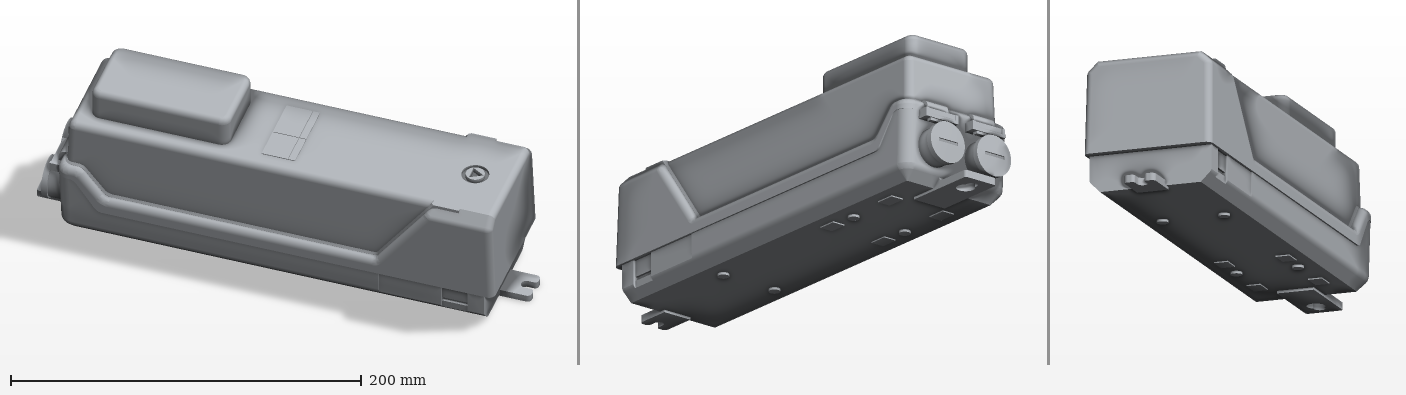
import cadquery as cq
import math


total_length = 297.1
total_width = 78.0
total_height = 96.77
end_draft = math.tan(math.radians(2.2))
side_draft = math.tan(math.radians(0.9))

base_bottom_z = 1.5
base_front_x = 20.7
base_rear_x = 278.6
base_half_width = 38.2
base_corner_radius = 7.5
base_chamfer = 6.8
base_chamfer_blend = 5.0
rear_flat_x = 215.2
rear_flat_half_width = 37.3

parting_low_z = 23.1
parting_high_z = 42.8
parting_slope_top_x = 31.6
parting_slope_bottom_x = 46.0
parting_bend_radius = 6.0

cover_rear_x = 284.8
cover_half_width = total_width / 2
cover_top_z = 78.6
skirt_front_radius = 7.5
skirt_rear_radius = 4.0
top_side_chamfer = 6.5

ledge_low_z = 32.5
ledge_high_z = 49.8
ledge_front_slope_x = (35.0, 50.0)
ledge_rear_slope_x = (213.0, 247.0)
ledge_front_bend_radius = 6.0
ledge_rear_bend_radius = 3.0
ledge_edge_radius = 4.2

crown_front_x = 24.9
crown_rear_x = 262.0
crown_half_width = 33.4
crown_side_draft = math.tan(math.radians(1.4))
crown_corner_radius = 4.5
crown_top_radius = 4.0
crown_root_size = 1.2

box_front_x = 36.0
box_length = 83.2
box_width = 44.4
box_corner_radius = 5.6
box_top_radius = 3.5

label_front_x = 139.4
label_length = 20.2
label_width = 44.4
label_height = 0.5
label_split_y = -2.4
label_strip_x = 155.2
label_groove = 0.4
screw_x = 260.6
screw_recess_diameter = 16.0
screw_recess_depth = 2.0
screw_head_diameter = 11.0
screw_head_rise = 0.5
screw_socket_diameter = 10.0
screw_socket_depth = 3.0

gland_y = 17.0
gland_z = 22.4
gland_neck_diameter = 23.0
gland_flange_diameter = 25.0
gland_rim_x = 9.0
gland_flange_thickness = 3.5
gland_dome_height = 0.8
gland_slot_length = 14.2
gland_slot_width = 2.0
gland_slot_depth = 1.0
embed = 6.0

hook_front_x = 13.8
hook_width = 23.6
hook_bottom_z = 37.4
hook_lip_width = 16.0
hook_lip_thickness = 3.0
hook_lip_drop = 1.6
hook_recess_margin = 1.9
hook_recess_depth = 0.5
lug_front_x = 18.0
lug_width = 15.3

bracket_top_z = 4.4
front_bracket_width = 22.6
front_bracket_end_x = 46.8
front_bracket_corner = 1.7
keyhole_x = 13.8
keyhole_diameter = 11.0
keyhole_slot_width = 6.8
keyhole_slot_end_x = 4.6
gusset_radius = 3.0
gusset_top_x = 24.0
rear_bracket_width = 19.0
rear_bracket_start_x = 274.6
rear_bracket_corner = 2.7
rear_slot_width = 6.0
rear_slot_end_x = 288.3
rear_slot_mouth_radius = 2.0

foot_y = 18.8
foot_diameter = 6.8
foot_x = (92.0, 209.9)
pad_width = 8.4
pad_height = 0.7
pad_spans = ((52.5, 64.7), (105.4, 116.8))

latch_x = (252.7, 268.6)
latch_window_bottom_z = 13.2
latch_bar_top_z = 10.8
latch_bar_bottom_z = 6.4
latch_window_depth = 1.5
latch_gap_depth = 3.0


def box_between(x0, x1, y0, y1, z0, z1):
    return cq.Workplane("XY").box(x1 - x0, y1 - y0, z1 - z0, centered=False).translate((x0, y0, z0))


def drafted_block(z0, front0, rear0, half0, z1, front1, rear1, half1):
    """Block with flat sloping sides between two rectangles that are symmetric about Y = 0."""
    side_view = (
        cq.Workplane("XZ")
        .polyline([(front0, z0), (rear0, z0), (rear1, z1), (front1, z1)])
        .close()
        .extrude(total_width, both=True)
    )
    end_view = (
        cq.Workplane("YZ")
        .polyline([(-half0, z0), (half0, z0), (half1, z1), (-half1, z1)])
        .close()
        .extrude(total_length)
    )
    return side_view.intersect(end_view)


def upright_edges(block, end):
    """Upright corner edges at the front ("<X") or the rear (">X") face of a drafted block."""
    return block.faces(end).edges("not #Z")


def side_profile(points):
    """Slab with the given XZ outline that spans more than the full width."""
    return cq.Workplane("XZ").polyline(points).close().extrude(total_width, both=True)


def near_point(x, z):
    size = 0.5
    return cq.selectors.BoxSelector(
        (x - size, -2 * total_width, z - size), (x + size, 2 * total_width, z + size)
    )


def edges_near_height(z):
    """Selector for the edges that run at about height z."""
    margin = 0.6
    return cq.selectors.BoxSelector(
        (0, -total_width, z - margin), (base_rear_x - 1, total_width, z + margin)
    )


def parting_slab():
    """Everything below the parting face."""
    slab = side_profile([
        (-embed, -embed),
        (total_length, -embed),
        (total_length, parting_low_z),
        (parting_slope_bottom_x, parting_low_z),
        (parting_slope_top_x, parting_high_z),
        (-embed, parting_high_z),
    ])
    slab = slab.edges(near_point(parting_slope_bottom_x, parting_low_z)).fillet(parting_bend_radius)
    return slab.edges(near_point(parting_slope_top_x, parting_high_z)).fillet(parting_bend_radius)


def bend_shift(run, rise, lift):
    """Sideways move of a bend between a level line and a slope when the outline grows by lift."""
    return lift * math.tan(math.atan2(rise, run) / 2)


def ledge_slab(lift=0.0):
    """Everything below the ledge that runs along the front and the sides of the cover, grown by lift."""
    slope_top, slope_bottom = ledge_front_slope_x
    rise_bottom, rise_top = ledge_rear_slope_x
    front_shift = bend_shift(slope_bottom - slope_top, ledge_high_z - ledge_low_z, lift)
    rear_rise = cover_top_z - ledge_low_z
    rear_shift = bend_shift(rise_top - rise_bottom, rear_rise, lift)
    low_z = ledge_low_z + lift
    high_z = ledge_high_z + lift
    slope_top += front_shift
    slope_bottom += front_shift
    rise_bottom -= rear_shift
    rise_end = rise_bottom + (total_height - low_z) * (ledge_rear_slope_x[1] - ledge_rear_slope_x[0]) / rear_rise
    slab = side_profile([
        (0, 0),
        (total_length, 0),
        (total_length, total_height),
        (rise_end, total_height),
        (rise_bottom, low_z),
        (slope_bottom, low_z),
        (slope_top, high_z),
        (0, high_z),
    ])
    for x, z in ((slope_bottom, low_z), (slope_top, high_z)):
        slab = slab.edges(near_point(x, z)).fillet(ledge_front_bend_radius)
    return slab.edges(near_point(rise_bottom, low_z)).fillet(ledge_rear_bend_radius)


def is_ledge_face(face):
    """True for the faces that face upwards across the full width below the top of the cover."""
    normal = face.normalAt()
    center = face.Center()
    runs_across = abs(normal.y) < 1e-6 and abs(center.y) < 1e-3
    return runs_across and normal.z > 0.05 and ledge_low_z - 1 < center.z and center.x < ledge_rear_slope_x[1]


def ledge_outer_edges(block):
    """Edges along the front and the sides of the ledge faces of a block."""
    ledge_faces = block.newObject([face for face in block.faces().vals() if is_ledge_face(face)])
    return ledge_faces.edges("not |Y").vals() + ledge_faces.edges("|Y").edges("<X").vals()


def make_skirt():
    """Full-width part of the cover, with the ledge cut in and rounded along its outer edge."""
    rise = cover_top_z - base_bottom_z
    low_drop = parting_low_z - base_bottom_z
    half_low = cover_half_width + low_drop * side_draft
    rear_low = cover_rear_x + low_drop * end_draft
    front_low = base_front_x + (base_bottom_z - parting_high_z) * end_draft
    skirt = drafted_block(
        base_bottom_z, front_low, rear_low, half_low,
        cover_top_z, front_low + rise * end_draft, rear_low - rise * end_draft, half_low - rise * side_draft,
    )
    skirt = upright_edges(skirt, "<X").fillet(skirt_front_radius)
    top_side_edges = edges_near_height(cover_top_z - top_side_chamfer)
    skirt = skirt.faces(">Z").edges("<Y or >Y").chamfer(top_side_chamfer)
    rear_edges = skirt.faces(">X").edges("not <Z")
    skirt = skirt.edges(top_side_edges).add(rear_edges).fillet(skirt_rear_radius)
    skirt = skirt.intersect(ledge_slab())
    return skirt.newObject(ledge_outer_edges(skirt)).fillet(ledge_edge_radius)


def crown_block(margin=0.0):
    """Drafted crown without its top rounding, grown outwards by margin."""
    rise = cover_top_z - ledge_low_z
    front_low = crown_front_x - margin - (ledge_high_z - ledge_low_z) * end_draft
    half_low = crown_half_width + margin
    block = drafted_block(
        ledge_low_z, front_low, crown_rear_x, half_low,
        cover_top_z, front_low + rise * end_draft, crown_rear_x, half_low - rise * crown_side_draft,
    )
    return upright_edges(block, "<X").fillet(crown_corner_radius + margin)


def make_crown():
    """Narrower top part of the cover that rises out of the ledge."""
    return crown_block().faces(">Z").edges("not >X").fillet(crown_top_radius)


def make_crown_root():
    """Narrow sloping collar where the crown meets the ledge."""
    root = crown_block(crown_root_size).intersect(ledge_slab(crown_root_size))
    return root.newObject(ledge_outer_edges(root)).chamfer(0.95 * crown_root_size)


def make_top_box():
    bottom = cover_top_z - embed
    box = box_between(box_front_x, box_front_x + box_length, -box_width / 2, box_width / 2, bottom, total_height)
    return box.edges("|Z").fillet(box_corner_radius).faces(">Z").edges().fillet(box_top_radius)


def make_label():
    """Thin raised plate, split in two fields, each with a strip along the rear edge."""
    rear_x = label_front_x + label_length
    half = label_width / 2
    top = cover_top_z + label_height
    bottom = top - label_groove
    plate = box_between(label_front_x, rear_x, -half, half, cover_top_z - embed, top)
    split = box_between(
        label_front_x, rear_x, label_split_y - label_groove / 2, label_split_y + label_groove / 2, bottom, top
    )
    strip = box_between(label_strip_x, label_strip_x + label_groove, -half, half, bottom, top)
    return plate.cut(split).cut(strip)


def cylinder_up(x, y, z0, z1, diameter):
    return cq.Workplane("XY", origin=(x, y, z0)).circle(diameter / 2).extrude(z1 - z0)


def make_cover_lug(side):
    """Rounded lug on the front ledge above a hook."""
    y = side * gland_y
    lug = box_between(
        lug_front_x, crown_front_x, y - lug_width / 2, y + lug_width / 2, parting_high_z, ledge_high_z
    )
    return lug.edges("<X and >Z").fillet(ledge_edge_radius)


def make_cover():
    cover = make_skirt().union(make_crown_root()).union(make_crown()).cut(parting_slab())
    cover = cover.union(make_top_box()).union(make_label())
    for side in (-1, 1):
        cover = cover.union(make_cover_lug(side))
    recess_z = cover_top_z - screw_recess_depth
    head_top = cover_top_z + screw_head_rise
    cover = cover.cut(cylinder_up(screw_x, 0, recess_z, head_top, screw_recess_diameter))
    cover = cover.union(cylinder_up(screw_x, 0, recess_z - 1, head_top, screw_head_diameter))
    socket = (
        cq.Workplane("XY", origin=(screw_x, 0, head_top - screw_socket_depth))
        .polygon(3, screw_socket_diameter)
        .extrude(screw_socket_depth)
    )
    return cover.cut(socket)


def make_base_shell():
    """Drafted tub below the parting face, chamfered along the bottom at the front and the sides."""
    rise = parting_high_z + embed - base_bottom_z
    front_low = base_front_x + (parting_high_z - base_bottom_z) * end_draft
    half_low = base_half_width - (parting_high_z - base_bottom_z) * side_draft
    shell = drafted_block(
        base_bottom_z, front_low, base_rear_x, half_low,
        parting_high_z + embed, front_low - rise * end_draft, base_rear_x, half_low + rise * side_draft,
    )
    shell = upright_edges(shell, "<X").fillet(base_corner_radius)
    shell = shell.faces("<Z").edges("not >X").chamfer(base_chamfer)
    shell = shell.edges(edges_near_height(base_bottom_z + base_chamfer)).fillet(base_chamfer_blend)
    shell = shell.intersect(parting_slab())
    for side in (-1, 1):
        inner, outer = sorted((side * rear_flat_half_width, side * total_width))
        shell = shell.cut(box_between(rear_flat_x, base_rear_x, inner, outer, 0, parting_low_z))
    return shell


def cut_latch(base, side):
    """Pocket in the rear flat with a deeper gap between its window and a bar below."""
    x0, x1 = latch_x
    steps = (
        (latch_window_bottom_z, parting_low_z, latch_window_depth),
        (latch_bar_top_z, latch_window_bottom_z, latch_gap_depth),
        (latch_bar_bottom_z, latch_bar_top_z, latch_window_depth),
    )
    for z0, z1, depth in steps:
        y0, y1 = sorted((side * (rear_flat_half_width - depth), side * total_width))
        base = base.cut(box_between(x0, x1, y0, y1, z0, z1))
    return base


def make_gland(side):
    """Screw plug with a domed, slotted flange on a round neck, revolved about its own axis."""
    neck = gland_neck_diameter / 2
    rim = gland_flange_diameter / 2
    flange_rear_x = gland_rim_x + gland_flange_thickness
    dome_x = gland_rim_x - gland_dome_height
    sphere = (rim ** 2 + gland_dome_height ** 2) / (2 * gland_dome_height)
    mid_radius = rim / 2
    mid_x = dome_x + sphere - math.sqrt(sphere ** 2 - mid_radius ** 2)
    gland = (
        cq.Workplane("XY")
        .moveTo(dome_x, 0)
        .threePointArc((mid_x, mid_radius), (gland_rim_x, rim))
        .lineTo(flange_rear_x, rim)
        .lineTo(flange_rear_x, neck)
        .lineTo(base_front_x + embed, neck)
        .lineTo(base_front_x + embed, 0)
        .close()
        .revolve(360, (0, 0, 0), (1, 0, 0))
    )
    slot = cq.Workplane("XY").box(2 * gland_slot_depth, gland_slot_length, gland_slot_width)
    gland = gland.cut(slot.translate((dome_x, 0, 0)))
    return gland.translate((0, side * gland_y, gland_z))


def make_hook(side):
    """Flat hook above a gland, with a recessed front face and a short lip under it."""
    y = side * gland_y
    rear_x = base_front_x + embed
    plate = box_between(hook_front_x, rear_x, y - hook_width / 2, y + hook_width / 2, hook_bottom_z, parting_high_z)
    recess_half = hook_width / 2 - hook_recess_margin
    recess = box_between(
        hook_front_x, hook_front_x + hook_recess_depth, y - recess_half, y + recess_half,
        hook_bottom_z + hook_recess_margin, parting_high_z,
    )
    lip_x = hook_front_x + hook_lip_drop / 2
    lip = box_between(
        lip_x, lip_x + hook_lip_thickness, y - hook_lip_width / 2, y + hook_lip_width / 2,
        hook_bottom_z - hook_lip_drop, hook_bottom_z,
    )
    return plate.cut(recess).union(lip)


def make_front_bracket():
    """Plate with a keyhole, rounded into the chamfered front of the base."""
    half = front_bracket_width / 2
    plate = box_between(0, front_bracket_end_x, -half, half, 0, bracket_top_z)
    plate = plate.edges("|Z and <X").fillet(front_bracket_corner)
    gusset = (
        cq.Workplane("XZ", origin=(0, half, 0))
        .moveTo(gusset_top_x - gusset_radius, bracket_top_z)
        .radiusArc((gusset_top_x, bracket_top_z + gusset_radius), -gusset_radius)
        .lineTo(gusset_top_x + embed, bracket_top_z + gusset_radius)
        .lineTo(gusset_top_x + embed, bracket_top_z)
        .close()
        .extrude(front_bracket_width)
    )
    return plate.union(gusset)


def make_keyhole():
    """Cutter for the keyhole: a large round hole with a narrower slot towards the bracket tip."""
    slot_radius = keyhole_slot_width / 2
    slot_x = keyhole_slot_end_x + slot_radius
    slot = box_between(slot_x, keyhole_x, -slot_radius, slot_radius, 0, bracket_top_z)
    slot_end = cylinder_up(slot_x, 0, 0, bracket_top_z, keyhole_slot_width)
    return cylinder_up(keyhole_x, 0, 0, bracket_top_z, keyhole_diameter).union(slot).union(slot_end)


def make_rear_bracket():
    """Plate with an open slot whose mouth is rounded."""
    half = rear_bracket_width / 2
    slot_radius = rear_slot_width / 2
    slot_x = rear_slot_end_x + slot_radius
    plate = box_between(rear_bracket_start_x, total_length, -half, half, 0, bracket_top_z)
    plate = plate.edges("|Z and >X").fillet(rear_bracket_corner)
    plate = plate.cut(box_between(slot_x, total_length, -slot_radius, slot_radius, 0, bracket_top_z))
    plate = plate.cut(cylinder_up(slot_x, 0, 0, bracket_top_z, rear_slot_width))
    mouth = plate.edges(cq.selectors.BoxSelector(
        (total_length - 0.5, -slot_radius - 0.5, -1), (total_length + 0.5, slot_radius + 0.5, bracket_top_z + 1)
    )).edges("|Z")
    return mouth.fillet(rear_slot_mouth_radius)


def make_base():
    base = make_base_shell()
    base = base.union(make_front_bracket()).union(make_rear_bracket()).cut(make_keyhole())
    for side in (-1, 1):
        base = cut_latch(base, side)
        base = base.union(make_gland(side)).union(make_hook(side))
        y = side * foot_y
        for x in foot_x:
            base = base.union(cylinder_up(x, y, 0, base_bottom_z + 1, foot_diameter))
        for x0, x1 in pad_spans:
            pad = box_between(
                x0, x1, y - pad_width / 2, y + pad_width / 2, base_bottom_z - pad_height, base_bottom_z + 1
            )
            base = base.union(pad)
    return base


base = make_base()
cover = make_cover()
result = cq.Compound.makeCompound([base.val(), cover.val()])